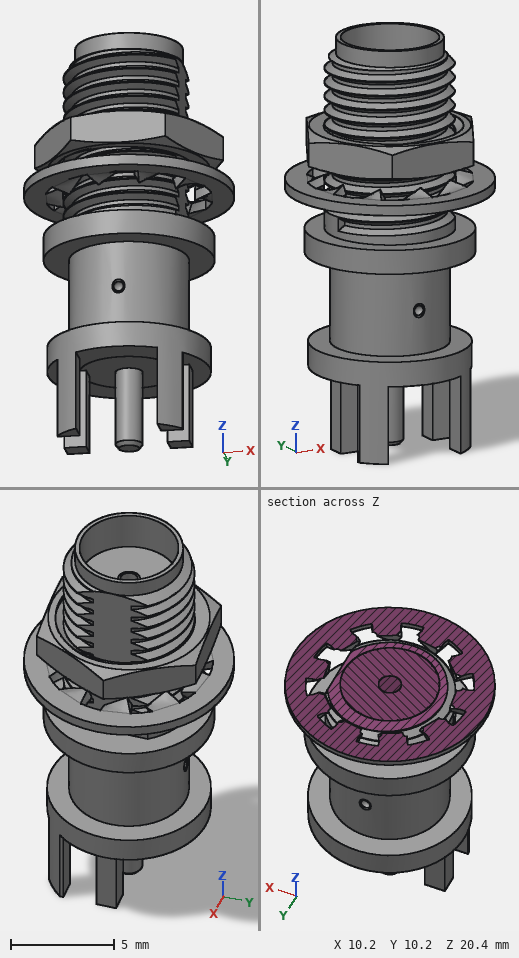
import cadquery as cq
import math

TOTAL_HEIGHT = 20.4
BASE_BOTTOM = 3.9
BASE_TOP = 5.15
FLANGE_BOTTOM = 9.6
FLANGE_TOP = 10.81
COLLAR_BOTTOM = 19.58
DIELECTRIC_TOP = 18.42
WASHER_BOTTOM = 12.81
NUT_BOTTOM = 14.3

BASE_DIAMETER = 7.95
BARREL_DIAMETER = 5.83
FLANGE_DIAMETER = 8.3
COLLAR_DIAMETER = 5.25
BORE_DIAMETER = 4.8
SHANK_FLAT_X = COLLAR_DIAMETER / 2
SHANK_CHAMFER_HEIGHT = 0.29

LEG_WIDTH = 1.08
LEG_OUTER_X = 3.08
MIDDLE_LEG_BACK_Y = 0.35
MIDDLE_LEG_LENGTH = 1.0
FRONT_LEG_BACK_Y = -2.35

DIMPLE_Z = 7.35
DIMPLE_RADIUS = 0.25
DIMPLE_RIM_RADIUS = 0.35
DIMPLE_RIM_DEPTH = 0.05

THREAD_RADIUS = 3.18
THREAD_DEPTH = 0.39
TEN_TURN_LENGTH = 7.05
THREAD_PITCH = TEN_TURN_LENGTH / 10
GROOVE_MOUTH = 0.65
GROOVE_HALF_ANGLE = 30.0
GROOVE_OVERCUT = 0.01
GROOVE_START_ANGLE = 189.0
GROOVE_START_Z = 11.5

PIN_DIAMETER = 1.33
PIN_CHAMFER = 0.16
PIN_CHAMFER_HEIGHT = 0.2
SOCKET_DIAMETER = 1.08
SOCKET_HOLE_DIAMETER = 0.85
SOCKET_HOLE_DEPTH = 2.85

NUT_HEIGHT = 1.67
NUT_ACROSS_FLATS = 8.0
NUT_CORNER_ANGLE = 2.4
NUT_FACE_DIAMETER = 7.85
NUT_CHAMFER_ANGLE = 20.0
NUT_GROOVE_TURNS_UP = 3
NUT_GROOVE_OVERRUN_TURNS = 1.5

WASHER_DIAMETER = 10.2
WASHER_THICKNESS = 0.5
WASHER_HOLE_DIAMETER = 8.15
TOOTH_COUNT = 10
TOOTH_ROOT_WIDTH = 1.47
TOOTH_TIP_WIDTH = 1.3
TOOTH_TIP_RADIUS = 3.2
TOOTH_TWIST = 30.0
FIRST_TOOTH_ANGLE = -99.4
TOOTH_EMBED = 0.15


def cylinder(diameter, bottom, top):
    """Upright cylinder on the Z axis."""
    return cq.Workplane("XY").workplane(offset=bottom).circle(diameter / 2).extrude(top - bottom)


def thread_groove(depth_direction, start_z, height):
    """Helical V groove with a flat root; depth_direction is -1 for an outer thread, +1 for an inner one."""
    mouth_radius = THREAD_RADIUS - depth_direction * GROOVE_OVERCUT
    root_radius = THREAD_RADIUS + depth_direction * THREAD_DEPTH
    slope = math.tan(math.radians(GROOVE_HALF_ANGLE))
    mouth_half = GROOVE_MOUTH / 2 + GROOVE_OVERCUT * slope
    root_half = GROOVE_MOUTH / 2 - THREAD_DEPTH * slope
    (inner_radius, inner_half), (outer_radius, outer_half) = sorted(
        [(mouth_radius, mouth_half), (root_radius, root_half)]
    )
    corners = [
        (outer_radius, -outer_half),
        (inner_radius, -inner_half),
        (inner_radius, inner_half),
        (outer_radius, outer_half),
    ]
    helices = [
        cq.Wire.makeHelix(THREAD_PITCH, height, radius).translate(cq.Vector(0, 0, z))
        for radius, z in corners
    ]
    faces = []
    for index, helix in enumerate(helices):
        faces.extend(cq.Face.makeRuledSurface(helix, helices[index - 1]).Faces())
    for rise in (0, height):
        turn = 2 * math.pi * rise / THREAD_PITCH
        outline = [
            cq.Vector(radius * math.cos(turn), radius * math.sin(turn), z + rise) for radius, z in corners
        ]
        faces.append(cq.Face.makeFromWires(cq.Wire.makePolygon(outline, close=True)))
    groove = cq.Solid.makeSolid(cq.Shell.makeShell(faces)).fix()
    groove = groove.rotate(cq.Vector(0, 0, 0), cq.Vector(0, 0, 1), GROOVE_START_ANGLE)
    return cq.Workplane(obj=groove.translate(cq.Vector(0, 0, start_z)))


def threaded_shank():
    """Collar and chamfered shank, flattened on +X, with the outer thread."""
    shank_radius = THREAD_RADIUS
    collar_radius = COLLAR_DIAMETER / 2
    shank = cq.Workplane("XZ").polyline([
        (0, FLANGE_TOP),
        (shank_radius, FLANGE_TOP),
        (shank_radius, COLLAR_BOTTOM - SHANK_CHAMFER_HEIGHT),
        (collar_radius, COLLAR_BOTTOM),
        (collar_radius, TOTAL_HEIGHT),
        (0, TOTAL_HEIGHT),
    ]).close().revolve(360, (0, 0, 0), (0, 1, 0))
    shank = shank.cut(thread_groove(-1, GROOVE_START_Z, COLLAR_BOTTOM + GROOVE_MOUTH / 2 - GROOVE_START_Z))
    flat_depth = shank_radius - SHANK_FLAT_X
    flat_cutter = cq.Workplane("XY").box(
        2 * flat_depth, 2 * shank_radius, COLLAR_BOTTOM - FLANGE_TOP, centered=(False, True, False)
    ).translate((SHANK_FLAT_X, 0, FLANGE_TOP))
    return shank.cut(flat_cutter)


def legs():
    """Two legs near the middle and two on the -Y side, trimmed to the round base."""
    leg_x = LEG_OUTER_X - LEG_WIDTH / 2
    base_radius = BASE_DIAMETER / 2
    leg_lengths = {MIDDLE_LEG_BACK_Y: MIDDLE_LEG_LENGTH, FRONT_LEG_BACK_Y: base_radius + FRONT_LEG_BACK_Y}
    blocks = cq.Workplane("XY")
    for back_y, length_y in leg_lengths.items():
        blocks = blocks.union(
            cq.Workplane("XY")
            .pushPoints([(-leg_x, back_y - length_y / 2), (leg_x, back_y - length_y / 2)])
            .rect(LEG_WIDTH, length_y)
            .extrude(BASE_BOTTOM)
        )
    return blocks.intersect(cylinder(BASE_DIAMETER, 0, BASE_BOTTOM))


def dimple():
    """Cutter for the round-bottomed dimple with a shallow flared rim on the -Y side of the barrel."""
    surface_y = -BARREL_DIAMETER / 2
    rim_y = surface_y + DIMPLE_RIM_DEPTH
    return (
        cq.Workplane("XY")
        .moveTo(0, surface_y)
        .lineTo(DIMPLE_RIM_RADIUS, surface_y)
        .lineTo(DIMPLE_RADIUS, rim_y)
        .radiusArc((0, rim_y + DIMPLE_RADIUS), -DIMPLE_RADIUS)
        .close()
        .revolve(360, (0, 0, 0), (0, 1, 0))
        .translate((0, 0, DIMPLE_Z))
    )


def make_housing():
    housing = cylinder(BASE_DIAMETER, BASE_BOTTOM, BASE_TOP)
    housing = housing.union(cylinder(BARREL_DIAMETER, BASE_TOP, FLANGE_BOTTOM))
    housing = housing.union(cylinder(FLANGE_DIAMETER, FLANGE_BOTTOM, FLANGE_TOP))
    housing = housing.union(threaded_shank())
    housing = housing.cut(cylinder(BORE_DIAMETER, BASE_BOTTOM, TOTAL_HEIGHT))
    housing = housing.union(legs())
    for side_angle in (0, 180):
        housing = housing.cut(dimple().rotate((0, 0, 0), (0, 0, 1), side_angle))
    return housing


def pin_envelope():
    """Pin without its socket hole: a thick tail and a thinner socket end."""
    tail_radius = PIN_DIAMETER / 2
    socket_radius = SOCKET_DIAMETER / 2
    return cq.Workplane("XZ").polyline([
        (0, 0),
        (tail_radius - PIN_CHAMFER, 0),
        (tail_radius, PIN_CHAMFER_HEIGHT),
        (tail_radius, BASE_TOP),
        (socket_radius, BASE_TOP),
        (socket_radius, DIELECTRIC_TOP),
        (0, DIELECTRIC_TOP),
    ]).close().revolve(360, (0, 0, 0), (0, 1, 0))


def make_pin():
    socket_hole = cylinder(SOCKET_HOLE_DIAMETER, DIELECTRIC_TOP - SOCKET_HOLE_DEPTH, DIELECTRIC_TOP)
    return pin_envelope().cut(socket_hole)


def make_dielectric():
    return cylinder(BORE_DIAMETER, BASE_BOTTOM, DIELECTRIC_TOP).cut(pin_envelope())


def tapped_blank():
    """Sleeve with the inner thread, longer than the nut so that the groove ends fall outside it."""
    groove_start = GROOVE_START_Z + NUT_GROOVE_TURNS_UP * THREAD_PITCH
    groove_end = NUT_BOTTOM + NUT_HEIGHT + NUT_GROOVE_OVERRUN_TURNS * THREAD_PITCH
    blank_bottom = groove_start - THREAD_PITCH
    blank_top = groove_end + THREAD_PITCH
    blank = cylinder(2 * NUT_ACROSS_FLATS, blank_bottom, blank_top)
    blank = blank.cut(cylinder(2 * THREAD_RADIUS, blank_bottom, blank_top))
    return blank.cut(thread_groove(1, groove_start, groove_end - groove_start))


def make_nut():
    """Hexagon nut, chamfered on both faces, with an inner thread."""
    corner_diameter = NUT_ACROSS_FLATS / math.cos(math.radians(30))
    hexagon = cq.Workplane("XY").polygon(6, corner_diameter).extrude(NUT_HEIGHT)
    hexagon = hexagon.rotate((0, 0, 0), (0, 0, 1), NUT_CORNER_ANGLE)
    face_radius = NUT_FACE_DIAMETER / 2
    corner_radius = corner_diameter / 2
    drop = (corner_radius - face_radius) * math.tan(math.radians(NUT_CHAMFER_ANGLE))
    chamfer_envelope = cq.Workplane("XZ").polyline([
        (0, 0),
        (face_radius, 0),
        (corner_radius, drop),
        (corner_radius, NUT_HEIGHT - drop),
        (face_radius, NUT_HEIGHT),
        (0, NUT_HEIGHT),
    ]).close().revolve(360, (0, 0, 0), (0, 1, 0))
    nut = hexagon.intersect(chamfer_envelope).translate((0, 0, NUT_BOTTOM))
    return nut.intersect(tapped_blank())


def washer_tooth():
    """Tooth pointing from the ring toward the axis along +X, twisted about its own length."""
    ring_radius = WASHER_HOLE_DIAMETER / 2
    root_x = math.sqrt(ring_radius**2 - (TOOTH_ROOT_WIDTH / 2) ** 2)
    root_block = cq.Workplane("XY").box(
        ring_radius + TOOTH_EMBED - root_x, TOOTH_ROOT_WIDTH, WASHER_THICKNESS, centered=(False, True, True)
    ).translate((root_x, 0, 0))
    blade = (
        cq.Workplane("YZ", origin=(TOOTH_TIP_RADIUS, 0, 0))
        .transformed(rotate=(0, 0, TOOTH_TWIST))
        .rect(TOOTH_TIP_WIDTH, WASHER_THICKNESS)
        .transformed(rotate=(0, 0, -TOOTH_TWIST), offset=(0, 0, root_x - TOOTH_TIP_RADIUS))
        .rect(TOOTH_ROOT_WIDTH, WASHER_THICKNESS)
        .loft(ruled=True)
    )
    return blade.union(root_block)


def make_washer():
    middle_z = WASHER_BOTTOM + WASHER_THICKNESS / 2
    washer_top = WASHER_BOTTOM + WASHER_THICKNESS
    washer = cylinder(WASHER_DIAMETER, WASHER_BOTTOM, washer_top)
    washer = washer.cut(cylinder(WASHER_HOLE_DIAMETER, WASHER_BOTTOM, washer_top))
    tooth = washer_tooth().translate((0, 0, middle_z))
    for index in range(TOOTH_COUNT):
        angle = FIRST_TOOTH_ANGLE + index * 360 / TOOTH_COUNT
        washer = washer.union(tooth.rotate((0, 0, 0), (0, 0, 1), angle))
    return washer


housing = make_housing()
dielectric = make_dielectric()
pin = make_pin()
nut = make_nut()
washer = make_washer()

result = cq.Compound.makeCompound([
    housing.solids().val(),
    dielectric.solids().val(),
    pin.solids().val(),
    nut.solids().val(),
    washer.solids().val(),
])